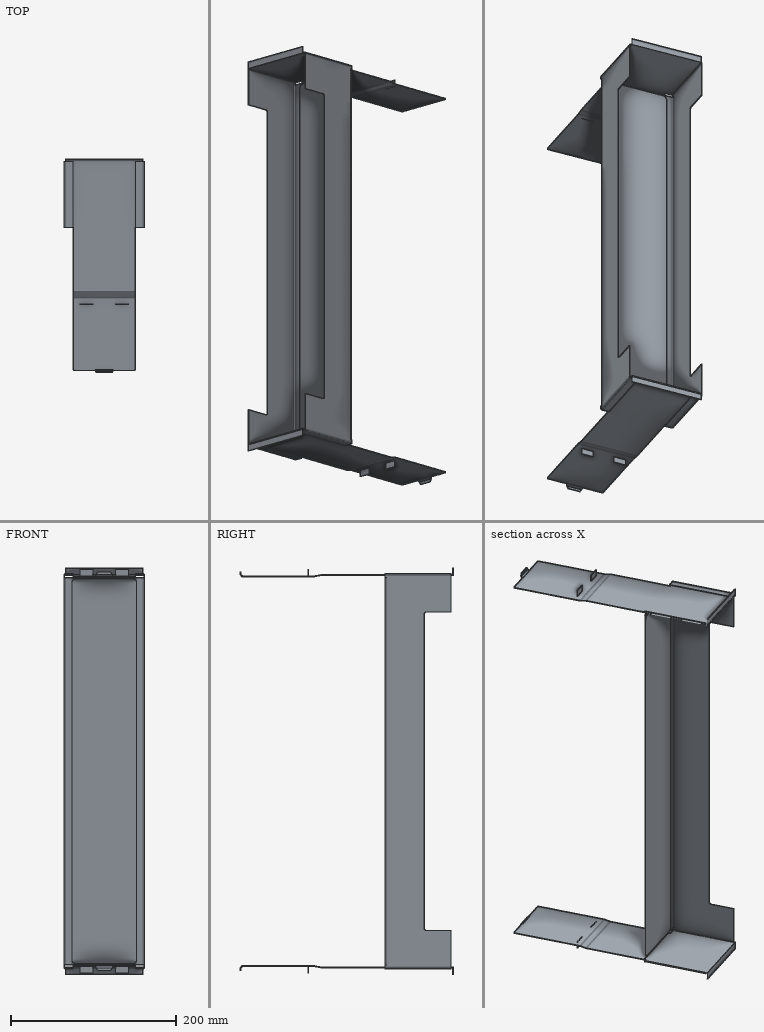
import cadquery as cq

sheet = 1.0
bend_radius = 2.2

housing_width = 98.0
housing_depth = 80.0
housing_top = 239.5
panel_top = 234.5
notch_top = 192.5
notch_bottom_y = 47.5
notch_radius = 2.5

pad_width = 78.5
pad_height = 466.0
pad_radius = 5.0
pad_thickness = 0.5

arm_width = 75.0
flange_back = 83.0
flange_top = 245.8
tip_y = -173.0
lip_clearance = 0.5
arm_top = housing_top - sheet - lip_clearance
step_start_y = -77.5
step_end_y = -85.5
step_drop = 1.5
tip_corner_radius = 1.5
foot_front_y = sheet
foot_width = 93.5

tab_inner_x = 14.0
tab_outer_x = 29.5
tab_y = -93.0
tab_top = 244.5

hook_base_width = 21.5
hook_top_width = 15.5
hook_top = 241.5
hook_reach = 2.5


def block(x_range, y_range, z_range):
    """Box between the given limits."""
    (x0, x1), (y0, y1), (z0, z1) = x_range, y_range, z_range
    return cq.Workplane("XY").box(x1 - x0, y1 - y0, z1 - z0, centered=False).translate((x0, y0, z0))


def centred(width):
    """Limits of a span that is symmetric about zero."""
    return (-width / 2, width / 2)


def rounded_tube(width, height, length):
    """Tube of sheet with bent corners, its section in XY and centred, running up Z from zero."""
    outer = cq.Workplane("XY").rect(width, height).extrude(length).edges("|Z").fillet(bend_radius)
    inner = (
        cq.Workplane("XY")
        .rect(width - 2 * sheet, height - 2 * sheet)
        .extrude(length)
        .edges("|Z")
        .fillet(bend_radius - sheet)
    )
    return outer.cut(inner)


def make_front_channel():
    """Front panel bent round into both side walls, open at the back."""
    tube = rounded_tube(housing_width, 2 * housing_depth, 2 * panel_top)
    tube = tube.translate((0, housing_depth, -panel_top))
    return tube.intersect(block(centred(housing_width), (0, housing_depth), centred(2 * panel_top)))


def make_lipped_sides():
    """Side walls whose ends are bent inwards into lips, leaving the arm width open between them."""
    tube = rounded_tube(housing_width, 2 * housing_top, housing_depth)
    tube = tube.rotate((0, 0, 0), (1, 0, 0), -90)
    gap = block(centred(arm_width), (0, housing_depth), centred(2 * housing_top))
    front_corner = block(centred(housing_width), (0, bend_radius), centred(2 * panel_top))
    return tube.cut(gap).cut(front_corner)


def make_housing():
    """Channel and lipped sides with a notch through both side walls and a pad behind the panel."""
    notch = block(centred(housing_width), (notch_bottom_y, 2 * housing_depth), centred(2 * notch_top))
    notch = notch.edges("|X and <Y").fillet(notch_radius)
    pad = block(centred(pad_width), (sheet, sheet + pad_thickness), centred(pad_height))
    pad = pad.edges("|Y").fillet(pad_radius)
    return make_front_channel().union(make_lipped_sides()).cut(notch).union(pad)


def make_arm_strip():
    """Long strip of the arm, stepped inwards by a shallow joggle, with rounded tip corners."""
    low_top = arm_top - step_drop
    top_line = [(flange_back, arm_top), (step_start_y, arm_top), (step_end_y, low_top), (tip_y, low_top)]
    bottom_line = [(y, z - sheet) for y, z in reversed(top_line)]
    strip = cq.Workplane("YZ").polyline(top_line + bottom_line).close().extrude(arm_width / 2, both=True)
    return strip.edges("|Z and <Y").fillet(tip_corner_radius)


def make_hook():
    """Tapered tongue at the arm tip, slanting out and then standing upright."""
    low_top = arm_top - step_drop
    base = low_top - sheet
    outer_y = tip_y - hook_reach
    side = (
        cq.Workplane("YZ")
        .moveTo(tip_y + sheet, base)
        .lineTo(tip_y, base)
        .lineTo(outer_y, base + hook_reach)
        .lineTo(outer_y, hook_top)
        .lineTo(outer_y + sheet, hook_top)
        .lineTo(outer_y + sheet, base + hook_reach)
        .lineTo(tip_y + sheet, low_top)
        .close()
        .extrude(hook_base_width / 2, both=True)
    )
    face = (
        cq.Workplane("XZ", origin=(0, tip_y + 2 * sheet, 0))
        .polyline(
            [
                (-hook_base_width / 2, base),
                (hook_base_width / 2, base),
                (hook_base_width / 2, low_top),
                (hook_top_width / 2, hook_top),
                (-hook_top_width / 2, hook_top),
                (-hook_base_width / 2, low_top),
            ]
        )
        .close()
        .extrude(hook_reach + 2 * sheet)
    )
    return side.intersect(face)


def make_upper_arm():
    """Stepped strip with a wide foot, a rear flange, a tip hook and two stop tabs."""
    arm = make_arm_strip()
    arm_bottom = arm_top - sheet
    foot = block(centred(foot_width), (foot_front_y, flange_back), (arm_bottom, arm_top))
    flange = block(centred(foot_width), (flange_back - sheet, flange_back), (arm_bottom, flange_top))
    arm = arm.union(foot).union(flange).union(make_hook())
    for x_range in ((-tab_outer_x, -tab_inner_x), (tab_inner_x, tab_outer_x)):
        tab = block(x_range, (tab_y - sheet / 2, tab_y + sheet / 2), (arm_bottom - step_drop, tab_top))
        arm = arm.union(tab)
    return arm


housing = make_housing()
upper_arm = make_upper_arm()
arms = [upper_arm, upper_arm.mirror("XY")]

result = cq.Compound.makeCompound([housing.val(), *[arm.val() for arm in arms]])